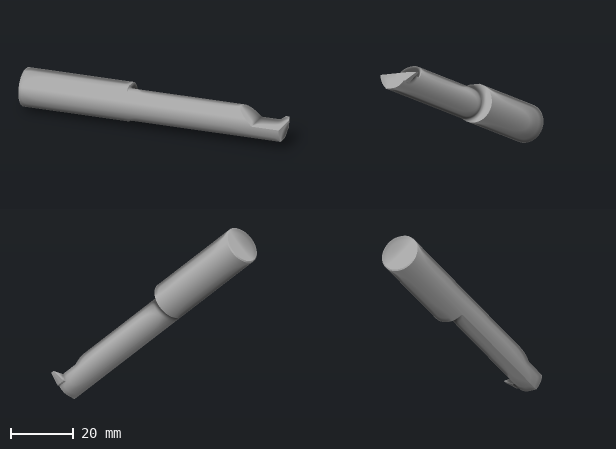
import cadquery as cq

total_length = 88.9
shank_diameter = 12.7
shank_length = 36.2
rear_chamfer = 0.4
flat_height = 6.09

neck_radius = 4.9
neck_axis_y = -2.05
neck_axis_z = 0.2
shoulder_fillet = 0.5

rake_height = 0
rake_start = 79.65

tooth_tip_y = 6.1
tooth_tip_rear = 86.7
tooth_tip_front = 87.9
tooth_root_rear = 86.05
tooth_root_y = neck_axis_y + neck_radius
tooth_depth = 2.7
root_fillet = 0.3

shank_radius = shank_diameter / 2


def make_shank():
    """Round shank with a chamfered rear edge and a narrow flat on top."""
    shank = cq.Workplane("YZ").circle(shank_radius).extrude(shank_length)
    shank = shank.faces("<X").chamfer(rear_chamfer)
    above_flat = cq.Workplane("XY").box(
        shank_length, shank_diameter, shank_radius, centered=(False, True, False)
    ).translate((0, 0, flat_height))
    return shank.cut(above_flat)


def make_neck():
    """Offset round neck, flat beneath its -Y side, trimmed to the shank diameter."""
    fillet_end = shank_length + shoulder_fillet
    flare_radius = neck_radius + shoulder_fillet
    half_profile = (
        cq.Workplane("XZ")
        .moveTo(shank_length, 0)
        .lineTo(shank_length, -flare_radius)
        .radiusArc((fillet_end, -neck_radius), shoulder_fillet)
        .lineTo(total_length, -neck_radius)
        .lineTo(total_length, 0)
        .close()
    )
    round_part = half_profile.revolve(360, (0, 0, 0), (1, 0, 0))
    flat_bottom = half_profile.wires().toPending().extrude(shank_radius)
    neck = round_part.union(flat_bottom).translate((0, neck_axis_y, neck_axis_z))
    envelope = cq.Workplane("YZ").circle(shank_radius).extrude(total_length)
    return neck.intersect(envelope)


def make_nose_cut():
    """Space above the cutting face, with a 45 degree run-out at the rear."""
    rise = shank_radius
    return (
        cq.Workplane("XZ")
        .moveTo(rake_start, rake_height)
        .lineTo(total_length, rake_height)
        .lineTo(total_length, rake_height + rise)
        .lineTo(rake_start - rise, rake_height + rise)
        .close()
        .extrude(shank_diameter, both=True)
    )


def make_tooth():
    """Tapered cutting tooth, relieved beneath from its tip back to the neck."""
    plan = (
        cq.Workplane("XY", origin=(0, 0, rake_height))
        .moveTo(tooth_root_rear - root_fillet, tooth_root_y)
        .radiusArc((tooth_root_rear, tooth_root_y + root_fillet), -root_fillet)
        .lineTo(tooth_tip_rear, tooth_tip_y)
        .lineTo(tooth_tip_front, tooth_tip_y)
        .lineTo(total_length, tooth_root_y)
        .lineTo(total_length, neck_axis_y)
        .lineTo(tooth_root_rear - root_fillet, neck_axis_y)
        .close()
        .extrude(-tooth_depth)
    )
    relief = (
        cq.Workplane("YZ")
        .moveTo(neck_axis_y, rake_height)
        .lineTo(tooth_tip_y, rake_height)
        .lineTo(tooth_root_y - root_fillet, rake_height - tooth_depth)
        .lineTo(neck_axis_y, rake_height - tooth_depth)
        .close()
        .extrude(total_length)
    )
    return plan.intersect(relief)


result = make_shank().union(make_neck()).cut(make_nose_cut()).union(make_tooth())